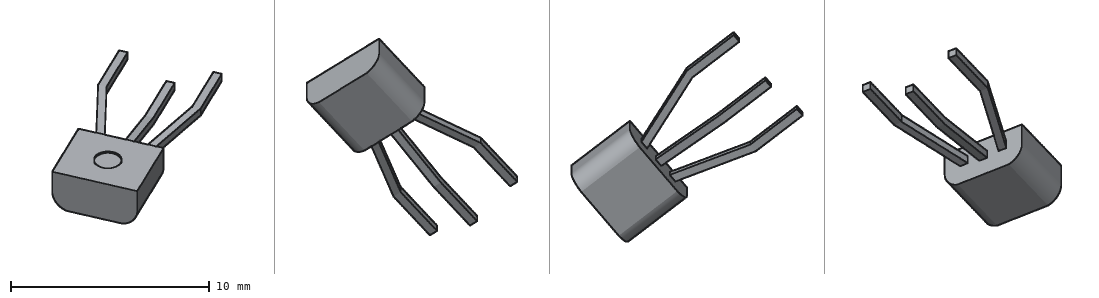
import cadquery as cq

body_width = 4.59
body_length = 3.8
body_height = 2.29
straight_side_bottom = 1.02
underside_width = 3.01
corner_radius = 1.05

mark_diameter = 1.4
mark_depth = 0.1

lead_size = 0.46
lead_end_y = 10.92
lead_bend_y = 7.87
root_pitch = 1.14
overall_width = 5.54
tip_pitch = (overall_width - lead_size) / 2
outer_root_z = 1.36
outer_tip_z = 1.78
middle_root_z = 1.22
middle_tip_z = 0.51


def make_body():
    """Extrude the D-shaped section along Y."""
    half_width = body_width / 2
    half_underside = underside_width / 2
    section = (
        cq.Workplane("XZ")
        .moveTo(-half_width, body_height)
        .lineTo(-half_width, straight_side_bottom)
        .radiusArc((-half_underside, 0), -corner_radius)
        .lineTo(half_underside, 0)
        .radiusArc((half_width, straight_side_bottom), -corner_radius)
        .lineTo(half_width, body_height)
        .close()
    )
    body = section.extrude(-body_length)
    mark = (
        cq.Workplane("XY", origin=(0, body_length / 2, body_height - mark_depth))
        .circle(mark_diameter / 2)
        .extrude(mark_depth)
    )
    return body.cut(mark)


def lead_square(x, y, z):
    """Lead cross-section, parallel to the XZ plane and centred on a point."""
    half = lead_size / 2
    corners = [(-half, -half), (half, -half), (half, half), (-half, half)]
    points = [cq.Vector(x + dx, y, z + dz) for dx, dz in corners]
    return cq.Wire.makePolygon(points, close=True)


def make_lead(root_x, tip_x, root_z, tip_z):
    """Sloping run from the body to the bend, then a straight run along Y."""
    root = lead_square(root_x, body_length, root_z)
    bend = lead_square(tip_x, lead_bend_y, tip_z)
    tip = lead_square(tip_x, lead_end_y, tip_z)
    sloping_run = cq.Solid.makeLoft([root, bend], True)
    straight_run = cq.Solid.makeLoft([bend, tip], True)
    return cq.Workplane(sloping_run).union(cq.Workplane(straight_run))


result = make_body()
for side in (-1, 1):
    result = result.union(make_lead(side * root_pitch, side * tip_pitch, outer_root_z, outer_tip_z))
result = result.union(make_lead(0, 0, middle_root_z, middle_tip_z))